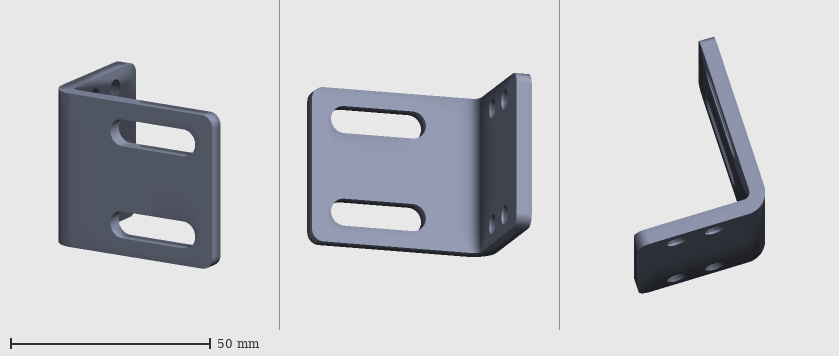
import cadquery as cq

length_x = 48.0
length_y = 35.0
height = 40.0
thickness = 4.0
outer_bend_radius = 6.0
inner_bend_radius = outer_bend_radius - thickness
corner_radius = 3.0

slot_length = 25.0
slot_width = 7.0
slot_center_x = 30.5
slot_spacing = 24.0

hole_diameter = 5.0
hole_center_y = 20.0
hole_spacing_y = 10.0
hole_spacing_z = 30.0

mid_height = height / 2


def bent_plate():
    """L-section with concentric bend radii, standing along Z."""
    section = (
        cq.Workplane("XY")
        .polyline([
            (0, 0),
            (length_x, 0),
            (length_x, thickness),
            (thickness, thickness),
            (thickness, length_y),
            (0, length_y),
        ])
        .close()
    )
    plate = section.extrude(height)
    plate = plate.edges(cq.NearestToPointSelector((0, 0, mid_height))).fillet(outer_bend_radius)
    inner_corner = (thickness, thickness, mid_height)
    return plate.edges(cq.NearestToPointSelector(inner_corner)).fillet(inner_bend_radius)


def round_free_corners(plate):
    """Round the top and bottom corners at the free end of each leg."""
    plate = plate.faces(">X").edges("|Y").fillet(corner_radius)
    return plate.faces(">Y").edges("|X").fillet(corner_radius)


def slot_cutters():
    return (
        cq.Workplane("XZ", origin=(slot_center_x, 0, mid_height))
        .rarray(0.5, slot_spacing, 1, 2)
        .slot2D(slot_length, slot_width)
        .extrude(-thickness)
    )


def hole_cutters():
    return (
        cq.Workplane("YZ", origin=(0, hole_center_y, mid_height))
        .rarray(hole_spacing_y, hole_spacing_z, 2, 2)
        .circle(hole_diameter / 2)
        .extrude(thickness)
    )


result = round_free_corners(bent_plate()).cut(slot_cutters()).cut(hole_cutters())